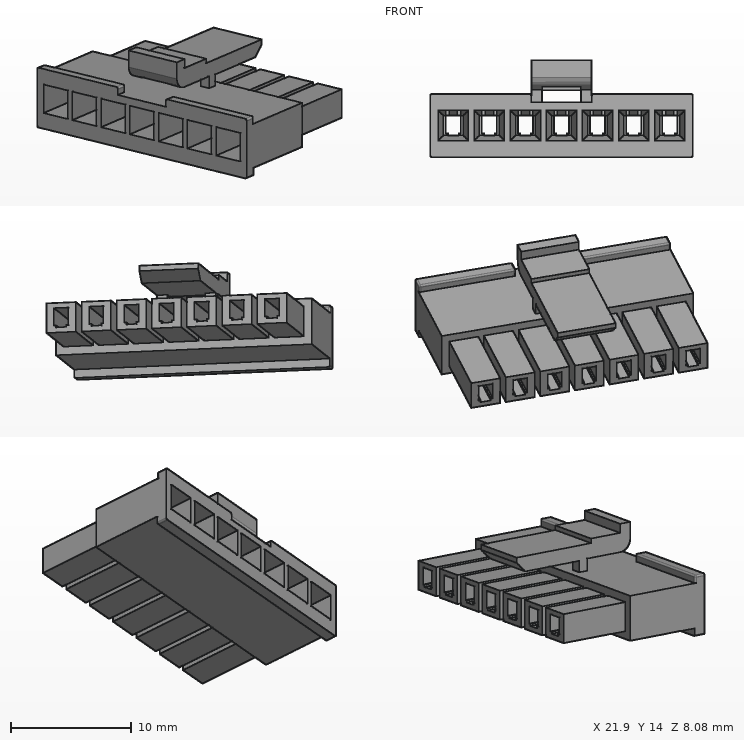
import cadquery as cq


WIDTH = 21.85
DEPTH = 14.0
HEIGHT = 8.08

BODY_DEPTH = 7.65
BODY_BOTTOM = 0.7
BODY_TOP = 4.59
FLANGE_DEPTH = 0.98
FLANGE_TOP = 5.27
EDGE_RADIUS = 0.15

CONTACT_COUNT = 7
CONTACT_ROW_WIDTH = 20.52
CONTACT_SIZE = 2.51
CONTACT_PITCH = (CONTACT_ROW_WIDTH - CONTACT_SIZE) / (CONTACT_COUNT - 1)
CONTACT_CENTER_Z = (BODY_BOTTOM + BODY_TOP) / 2
CAVITY_DEPTH = 5.0
FUNNEL_DEPTH = 1.92
FUNNEL_END_SIZE = 1.64
FUNNEL_END_Y = CAVITY_DEPTH + FUNNEL_DEPTH
BORE_WIDTH = 1.22
BORE_FLOOR_WIDTH = 0.87
BORE_STEP_HEIGHT = 0.17
RELIEF_WIDTH = 0.26

LATCH_WIDTH = 5.03
LATCH_FRONT_Y = 1.5
LATCH_TIP_Y = 13.2
LATCH_REAR_BOTTOM = 5.57
LATCH_FRONT_BOTTOM = 5.64
LATCH_TOP = 6.9
STEP_TOP = 7.3
STEP_BACK_Y = 5.55
HOOK_BACK_Y = 2.55
TIP_CHAMFER = 0.87
NOSE_RADIUS = 1.0
POST_WIDTH = 0.9
POST_FRONT_Y = 5.95
POST_BACK_Y = 6.77
UNDERCUT_TOP = 5.85


def block(width, y_start, y_end, z_bottom, z_top, x_center=0.0):
    """Box given by its width about x_center and its Y and Z limits."""
    return (
        cq.Workplane("XY")
        .box(width, y_end - y_start, z_top - z_bottom, centered=(True, False, False))
        .translate((x_center, y_start, z_bottom))
    )


def flange_lip(side):
    """Raised lip on one side of the latch gap, rounded on every exposed edge behind the mating face."""
    lip_width = (WIDTH - LATCH_WIDTH) / 2
    lip_center = side * (WIDTH - lip_width) / 2
    lip = block(lip_width, 0, FLANGE_DEPTH, BODY_TOP, FLANGE_TOP, lip_center)
    return lip.edges("(>Y or >Z) and (not <Y) and (not <Z)").fillet(EDGE_RADIUS)


def housing():
    """Main body with the front flange and its two top lips."""
    body = block(WIDTH, 0, BODY_DEPTH, BODY_BOTTOM, BODY_TOP)
    skirt = block(WIDTH, 0, FLANGE_DEPTH, 0, BODY_TOP)
    skirt = skirt.edges("|Y and <Z").fillet(EDGE_RADIUS)
    return body.union(skirt).union(flange_lip(-1)).union(flange_lip(1))


def contact_barrel(x):
    """Square tube behind the body that carries one contact."""
    half = CONTACT_SIZE / 2
    return block(CONTACT_SIZE, BODY_DEPTH, DEPTH, CONTACT_CENTER_Z - half, CONTACT_CENTER_Z + half, x)


def contact_passage(x):
    """Square cavity, tapered funnel, two reliefs in the funnel roof and a rear bore, as one cutter."""
    cavity_floor = CONTACT_CENTER_Z - CONTACT_SIZE / 2
    cavity_roof = CONTACT_CENTER_Z + CONTACT_SIZE / 2
    bore_floor = CONTACT_CENTER_Z - FUNNEL_END_SIZE / 2
    bore_roof = CONTACT_CENTER_Z + FUNNEL_END_SIZE / 2

    passage = block(CONTACT_SIZE, 0, CAVITY_DEPTH, cavity_floor, cavity_roof, x)
    funnel = (
        cq.Workplane("XZ", origin=(x, CAVITY_DEPTH, CONTACT_CENTER_Z))
        .rect(CONTACT_SIZE, CONTACT_SIZE)
        .workplane(offset=-FUNNEL_DEPTH)
        .rect(FUNNEL_END_SIZE, FUNNEL_END_SIZE)
        .loft(ruled=True)
    )
    passage = passage.union(funnel)
    for side in (-1, 1):
        relief_x = x + side * (BORE_WIDTH - RELIEF_WIDTH) / 2
        relief = block(RELIEF_WIDTH, CAVITY_DEPTH, FUNNEL_END_Y, CONTACT_CENTER_Z, cavity_roof, relief_x)
        passage = passage.union(relief)
    bore = block(BORE_WIDTH, FUNNEL_END_Y, DEPTH, bore_floor + BORE_STEP_HEIGHT, bore_roof, x)
    bore_groove = block(BORE_FLOOR_WIDTH, FUNNEL_END_Y, DEPTH, bore_floor, bore_roof, x)
    return passage.union(bore).union(bore_groove)


def latch():
    """Cantilever latch with a raised hook, standing on two posts."""
    arm = (
        cq.Workplane("YZ")
        .moveTo(LATCH_FRONT_Y, HEIGHT)
        .lineTo(HOOK_BACK_Y, HEIGHT)
        .lineTo(HOOK_BACK_Y, STEP_TOP)
        .lineTo(STEP_BACK_Y, STEP_TOP)
        .lineTo(STEP_BACK_Y, LATCH_TOP)
        .lineTo(LATCH_TIP_Y, LATCH_TOP)
        .lineTo(LATCH_TIP_Y, LATCH_REAR_BOTTOM + TIP_CHAMFER)
        .lineTo(LATCH_TIP_Y - TIP_CHAMFER, LATCH_REAR_BOTTOM)
        .lineTo(POST_FRONT_Y, LATCH_REAR_BOTTOM)
        .lineTo(POST_FRONT_Y, LATCH_FRONT_BOTTOM)
        .lineTo(LATCH_FRONT_Y + NOSE_RADIUS, LATCH_FRONT_BOTTOM)
        .radiusArc((LATCH_FRONT_Y, LATCH_FRONT_BOTTOM + NOSE_RADIUS), NOSE_RADIUS)
        .close()
        .extrude(LATCH_WIDTH / 2, both=True)
    )
    gap_width = LATCH_WIDTH - 2 * POST_WIDTH
    arm = arm.cut(block(gap_width, LATCH_FRONT_Y, POST_FRONT_Y, LATCH_FRONT_BOTTOM, UNDERCUT_TOP))
    for side in (-1, 1):
        post_x = side * (LATCH_WIDTH - POST_WIDTH) / 2
        arm = arm.union(block(POST_WIDTH, POST_FRONT_Y, POST_BACK_Y, BODY_TOP, LATCH_TOP, post_x))
    return arm


contact_positions = [(i - (CONTACT_COUNT - 1) / 2) * CONTACT_PITCH for i in range(CONTACT_COUNT)]

result = housing()
for contact_x in contact_positions:
    result = result.union(contact_barrel(contact_x))
for contact_x in contact_positions:
    result = result.cut(contact_passage(contact_x))
result = result.union(latch())